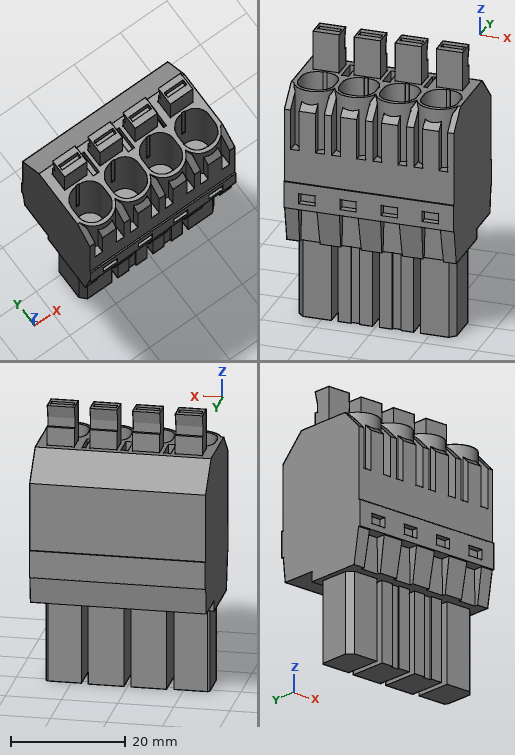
import cadquery as cq
import math


POLES = 4
PITCH = 7.6
HOUSING_WIDTH = 31.35
POLE_X = [(i - (POLES - 1) / 2) * PITCH for i in range(POLES)]

LEVER_TOP = 52.1
HOUSING_TOP = 44.8
SLOT_FLOOR = 33.6
BAND_TOP = 27.35
BAND_BOTTOM = 22.35
HEEL_BOTTOM = 17.45
HOUSING_BOTTOM = 15.55

BAND_DEPTH = 20.6
BODY_HALF_DEPTH = 10.0
BAND_HALF_DEPTH = BAND_DEPTH / 2
SKIRT_HALF_DEPTH = 9.9
SKIRT_FRONT_FOOT_Y = -8.7
HEEL_BACK_Y = 9.4
HEEL_FRONT_Y = 2.4
FRONT_CHAMFER = 3.65
BACK_CHAMFER_Y = 4.9
BACK_CHAMFER_Z = 5.05

FUNNEL_WALL_Y = -4.9
FUNNEL_WALL_RADIUS = 4.05
BORE_Y = -4.4
BORE_LENGTH = 7.5
BORE_WIDTH = 6.7
BORE_CORNER_RADIUS = 2.9
BORE_FLOOR = BAND_TOP
KEYWAY_WIDTH = 0.75
KEYWAY_DEPTH = 0.15

SLOT_INNER_X = 1.5
SLOT_OUTER_X = 3.15

WINDOW_WIDTH = 3.0
WINDOW_HEIGHT = 1.95
WINDOW_BOTTOM = 23.5
WINDOW_DEPTH = 1.25

RECESS_TOP_WIDTH = 3.45
RECESS_BOTTOM_WIDTH = 3.8
RECESS_FLOOR_Y = -8.0

LEVER_WIDTH = 4.85
LEVER_FRONT_Y = 0.0
LEVER_BACK_Y = 3.6
LEVER_POCKET_BACK_Y = 3.75
POCKET_DEPTH = 2.1
GRIP_HEIGHT = 3.95
GRIP_SLANT_HEIGHT = 2.3
GRIP_DEPTH = 0.55
BLADE_SLOT_WIDTH = 4.05
BLADE_SLOT_FRONT_Y = 1.3
BLADE_SLOT_BACK_Y = 2.35
BLADE_SLOT_DEPTH = 1.55

CODING_WIDTH = 1.3
CODING_NARROW_WIDTH = 0.6
CODING_FRONT_Y = -0.8

PLUG_WIDTH = 6.35
PLUG_FRONT_Y = -6.35
INNER_PLUG_BACK_Y = 1.25
OUTER_PLUG_BACK_Y = 1.05
PLUG_FRONT_CHAMFER = 1.1
PLUG_BACK_CHAMFER = 0.35
PLUG_GROOVE_WIDTH = 1.6
PLUG_GROOVE_DEPTH = 0.35


def block(x0, x1, y0, y1, z0, z1):
    """Axis-aligned box between the given limits."""
    return cq.Workplane("XY").box(x1 - x0, y1 - y0, z1 - z0, centered=False).translate((x0, y0, z0))


def cylinder(x, y, radius, z0, z1):
    """Upright round cylinder."""
    return cq.Workplane("XY", origin=(x, y, z0)).circle(radius).extrude(z1 - z0)


def housing_shell():
    """Solid housing: the side profile drawn across the full width."""
    profile = [
        (-BODY_HALF_DEPTH + FRONT_CHAMFER, HOUSING_TOP),
        (-BODY_HALF_DEPTH, HOUSING_TOP - FRONT_CHAMFER),
        (-BODY_HALF_DEPTH, BAND_TOP),
        (-BAND_HALF_DEPTH, BAND_TOP),
        (-BAND_HALF_DEPTH, BAND_BOTTOM),
        (-SKIRT_HALF_DEPTH, BAND_BOTTOM),
        (SKIRT_FRONT_FOOT_Y, HOUSING_BOTTOM),
        (HEEL_FRONT_Y, HOUSING_BOTTOM),
        (HEEL_FRONT_Y, HEEL_BOTTOM),
        (HEEL_BACK_Y, HEEL_BOTTOM),
        (SKIRT_HALF_DEPTH, BAND_BOTTOM),
        (BAND_HALF_DEPTH, BAND_BOTTOM),
        (BAND_HALF_DEPTH, BAND_TOP),
        (BODY_HALF_DEPTH, BAND_TOP),
        (BODY_HALF_DEPTH, HOUSING_TOP - BACK_CHAMFER_Z),
        (BODY_HALF_DEPTH - BACK_CHAMFER_Y, HOUSING_TOP),
    ]
    return cq.Workplane("YZ").polyline(profile).close().extrude(HOUSING_WIDTH / 2, both=True)


def front_slots(x):
    """Two slots from the front face to the funnel wall, open at the top."""
    slots = block(x - SLOT_OUTER_X, x - SLOT_INNER_X, -BODY_HALF_DEPTH, FUNNEL_WALL_Y, SLOT_FLOOR, HOUSING_TOP)
    return slots.union(slots.mirror("YZ", (x, 0, 0)))


def funnel_bore(x):
    """Wire opening with a shallower, thin keyway in its back wall."""
    half_length = BORE_LENGTH / 2
    bore = block(
        x - BORE_WIDTH / 2, x + BORE_WIDTH / 2,
        BORE_Y - half_length, BORE_Y + half_length, BORE_FLOOR, HOUSING_TOP,
    )
    bore = bore.edges("|Z").fillet(BORE_CORNER_RADIUS)
    keyway = block(
        x - KEYWAY_WIDTH / 2, x + KEYWAY_WIDTH / 2,
        BORE_Y, BORE_Y + half_length + KEYWAY_DEPTH, SLOT_FLOOR, HOUSING_TOP,
    )
    return bore.union(keyway)


def window(x):
    """Rectangular blind window in the front of the band."""
    return block(
        x - WINDOW_WIDTH / 2, x + WINDOW_WIDTH / 2,
        -BAND_HALF_DEPTH, -BAND_HALF_DEPTH + WINDOW_DEPTH,
        WINDOW_BOTTOM, WINDOW_BOTTOM + WINDOW_HEIGHT,
    )


def skirt_recess(x):
    """Recess in the sloping skirt, widening downwards, with an upright floor."""
    outline = [
        (x - RECESS_TOP_WIDTH / 2, BAND_BOTTOM),
        (x + RECESS_TOP_WIDTH / 2, BAND_BOTTOM),
        (x + RECESS_BOTTOM_WIDTH / 2, HOUSING_BOTTOM),
        (x - RECESS_BOTTOM_WIDTH / 2, HOUSING_BOTTOM),
    ]
    depth = RECESS_FLOOR_Y + SKIRT_HALF_DEPTH
    return cq.Workplane("XZ", origin=(0, RECESS_FLOOR_Y, 0)).polyline(outline).close().extrude(depth)


def lever_pocket(x):
    """Pocket holding the foot of a lever, with clearance behind it."""
    return block(
        x - LEVER_WIDTH / 2, x + LEVER_WIDTH / 2,
        LEVER_FRONT_Y, LEVER_POCKET_BACK_Y,
        HOUSING_TOP - POCKET_DEPTH, HOUSING_TOP,
    )


def coding_pocket(gap):
    """Narrow pocket between lever `gap` and the next; the last one is narrower."""
    left = (POLE_X[gap] + POLE_X[gap + 1] - CODING_WIDTH) / 2
    width = CODING_NARROW_WIDTH if gap == POLES - 2 else CODING_WIDTH
    return block(
        left, left + width, CODING_FRONT_Y, LEVER_POCKET_BACK_Y, HOUSING_TOP - POCKET_DEPTH, HOUSING_TOP
    )


def inner_plug(x):
    """Plug with a shallow groove down the middle of its front."""
    plug = block(x - PLUG_WIDTH / 2, x + PLUG_WIDTH / 2, PLUG_FRONT_Y, INNER_PLUG_BACK_Y, 0, HOUSING_BOTTOM)
    groove = block(
        x - PLUG_GROOVE_WIDTH / 2, x + PLUG_GROOVE_WIDTH / 2,
        PLUG_FRONT_Y, PLUG_FRONT_Y + PLUG_GROOVE_DEPTH, 0, HOUSING_BOTTOM,
    )
    return plug.cut(groove)


def outer_plug(x):
    """End plug with both corners on its outward side chamfered."""
    outward = math.copysign(1, x)
    inner_x = x - outward * PLUG_WIDTH / 2
    outer_x = x + outward * PLUG_WIDTH / 2
    outline = [
        (inner_x, PLUG_FRONT_Y),
        (outer_x - outward * PLUG_FRONT_CHAMFER, PLUG_FRONT_Y),
        (outer_x, PLUG_FRONT_Y + PLUG_FRONT_CHAMFER),
        (outer_x, OUTER_PLUG_BACK_Y - PLUG_BACK_CHAMFER),
        (outer_x - outward * PLUG_BACK_CHAMFER, OUTER_PLUG_BACK_Y),
        (inner_x, OUTER_PLUG_BACK_Y),
    ]
    return cq.Workplane("XY").polyline(outline).close().extrude(HOUSING_BOTTOM)


def make_housing():
    """Housing with its funnels, pockets, windows and plugs."""
    housing = housing_shell()
    for x in POLE_X:
        housing = housing.cut(front_slots(x))
    for x in POLE_X:
        housing = housing.union(cylinder(x, FUNNEL_WALL_Y, FUNNEL_WALL_RADIUS, SLOT_FLOOR, HOUSING_TOP))
    for x in POLE_X:
        housing = housing.cut(funnel_bore(x))
        housing = housing.cut(window(x))
        housing = housing.cut(skirt_recess(x))
        housing = housing.cut(lever_pocket(x))
    for gap in range(POLES - 1):
        housing = housing.cut(coding_pocket(gap))
    for x in POLE_X[1:-1]:
        housing = housing.union(inner_plug(x))
    for x in (POLE_X[0], POLE_X[-1]):
        housing = housing.union(outer_plug(x))
    return housing


def make_lever(x):
    """Release lever with a grip notch, slanted at its top, at the back and a blade slot on top."""
    foot = HOUSING_TOP - POCKET_DEPTH
    grip_bottom = LEVER_TOP - GRIP_HEIGHT
    slant_bottom = LEVER_TOP - GRIP_SLANT_HEIGHT
    grip_y = LEVER_BACK_Y - GRIP_DEPTH
    lever = (
        cq.Workplane("YZ", origin=(x, 0, 0))
        .moveTo(LEVER_FRONT_Y, foot)
        .lineTo(LEVER_BACK_Y, foot)
        .lineTo(LEVER_BACK_Y, grip_bottom)
        .lineTo(grip_y, grip_bottom)
        .lineTo(grip_y, slant_bottom)
        .lineTo(LEVER_BACK_Y, LEVER_TOP)
        .lineTo(LEVER_FRONT_Y, LEVER_TOP)
        .close()
        .extrude(LEVER_WIDTH / 2, both=True)
    )
    blade_slot = block(
        x - BLADE_SLOT_WIDTH / 2, x + BLADE_SLOT_WIDTH / 2,
        BLADE_SLOT_FRONT_Y, BLADE_SLOT_BACK_Y,
        LEVER_TOP - BLADE_SLOT_DEPTH, LEVER_TOP,
    )
    return lever.cut(blade_slot)


housing = make_housing()
levers = [make_lever(x) for x in POLE_X]

result = cq.Compound.makeCompound([housing.val(), *[lever.val() for lever in levers]])